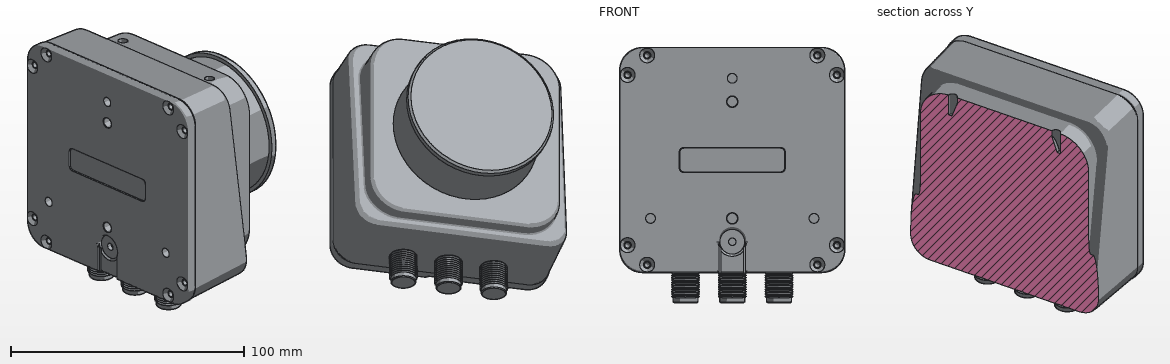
import cadquery as cq
import math

PLATE_SIZE = 96.57
PLATE_THICKNESS = 5.0
PLATE_CORNER = 10.0
PLATE_FRONT_FILLET = 1.0
PLATE_REAR_FILLET = 0.8

DRAFT = 1.5

HOUSING_SIZE = 96.1
HOUSING_CORNER = 10.0
HOUSING_RIM = 3.0
SLOPE_ANGLE = 8.0
SLOPE_MID_Y = 33.65

BODY_REAR_Y = 45.3
BODY_REAR_SIZE = 84.2
BODY_FOOT_Y = 20.0
BODY_CORNER = 15.0
BODY_RIM = 2.0
BODY_FOOT_FILLET = 1.0

LENS_REAR_Y = 71.5
LENS_BASE_RADIUS = 32.1
LENS_NECK_RADIUS = 30.55
FLANGE_RADIUS = 32.25
FLANGE_THICKNESS = 3.5
FLANGE_CHAMFER = 1.0

SCREW_NEAR = 36.45
SCREW_FAR = 44.85
SCREW_SINK_RADIUS = 3.2
SCREW_STEP_RADIUS = 1.6
SCREW_HOLE_RADIUS = 1.2
SCREW_SINK_DEPTH = 1.6
SCREW_HOLE_DEPTH = 4.0
SCREW_TIP_DEPTH = 5.0

MOUNT_HOLE_RADIUS = 2.1
MOUNT_HOLE_DEPTH = 4.0
MOUNT_HOLES = [(0, 35), (-35, -25), (35, -25)]

PIN_MOUTH_RADIUS = 2.45
PIN_CHAMFER = 0.2
PIN_DEPTH = 4.0
PIN_OFFSET_Z = 25.0

LABEL_LENGTH = 45.5
LABEL_HEIGHT = 10.7
LABEL_DEPTH = 0.5
LABEL_CORNER = 2.0
LABEL_DRAFT = 30.0

EARTH_Z = -35.0
EARTH_MOUTH_RADIUS = 6.45
EARTH_WALL_RADIUS = 5.65
EARTH_FLOOR_RADIUS = 5.3
EARTH_DEPTH = 1.9
EARTH_SCREW_RADIUS = 1.6
EARTH_SCREW_DEPTH = 4.0
CHANNEL_DEPTH = 1.25
CHANNEL_LIP_DEPTH = 0.15
CHANNEL_BEVEL_HEIGHT = 0.3
CHANNEL_FLOOR_HALF_WIDTH = 4.9
CHANNEL_SINK_RADIUS = 6.25

VENT_X = 25.9
VENT_Y = 36.2
VENT_RADIUS = 2.1
VENT_FLOOR_Z = 32.0
VENT_RAMP_X = 26.5
VENT_RAMP_ANGLE = 70.0

CONNECTOR_PITCH = 20.05
CONNECTOR_Y = 17.2
CONNECTOR_END_Z = -61.1
CONNECTOR_LENGTH = 20.0
CONNECTOR_NOSE_RADIUS = 5.4
CONNECTOR_NOSE_LENGTH = 2.2
CONNECTOR_NOSE_CHAMFER = 0.4
THREAD_RADIUS = 6.0
THREAD_DEPTH = 0.55
THREAD_PITCH = 1.0
THREAD_TURNS = 11


def plane_at(y):
    """Sketch plane facing +Y, with its vertical axis along Z."""
    return cq.Workplane(cq.Plane(origin=(0, y, 0), xDir=(-1, 0, 0), normal=(0, 1, 0)))


def turned(profile, x=0, z=0):
    """Solid turned about a Y-parallel axis from (radius, y) points."""
    return (
        cq.Workplane("XY")
        .polyline(profile)
        .close()
        .revolve(360, (0, 0, 0), (0, 1, 0))
        .translate((x, 0, z))
    )


def quarter_arc_middle(radius):
    """Distance from either edge line to the middle of a quarter-round of this radius."""
    return radius * (1 - math.sqrt(0.5))


def drafted_block(size, y_start, y_end, corner):
    """Square block narrowing toward +Y by the casting draft, with rounded corners."""
    block = plane_at(y_start).rect(size, size).extrude(y_end - y_start, taper=DRAFT)
    return block.edges("not(|X or |Z)").fillet(corner)


def cover_plate():
    plate = plane_at(0).rect(PLATE_SIZE, PLATE_SIZE).extrude(PLATE_THICKNESS)
    plate = plate.edges("|Y").fillet(PLATE_CORNER)
    plate = plate.faces("<Y").edges().fillet(PLATE_FRONT_FILLET)
    return plate.faces(">Y").edges().fillet(PLATE_REAR_FILLET)


def sloped_housing():
    housing = drafted_block(HOUSING_SIZE, PLATE_THICKNESS, BODY_REAR_Y, HOUSING_CORNER)
    reach = PLATE_SIZE
    rise = reach * math.tan(math.radians(SLOPE_ANGLE))
    beyond_slope = (
        cq.Workplane("YZ")
        .polyline([
            (SLOPE_MID_Y - rise, reach),
            (SLOPE_MID_Y + rise, -reach),
            (SLOPE_MID_Y + reach, -reach),
            (SLOPE_MID_Y + reach, reach),
        ])
        .close()
        .extrude(reach, both=True)
    )
    return housing.cut(beyond_slope).faces(">Y").edges().fillet(HOUSING_RIM)


def rear_body():
    growth = 2 * (BODY_REAR_Y - BODY_FOOT_Y) * math.tan(math.radians(DRAFT))
    body = drafted_block(BODY_REAR_SIZE + growth, BODY_FOOT_Y, BODY_REAR_Y, BODY_CORNER)
    return body.faces(">Y").edges().fillet(BODY_RIM)


def enclosure():
    """Housing and rear body, blended where the body meets the sloped face."""
    shell = sloped_housing().union(rear_body())
    angle = math.radians(SLOPE_ANGLE)
    slope_normal = cq.Vector(0, math.cos(angle), math.sin(angle))
    sloped_face = next(
        face for face in shell.faces("%PLANE").vals()
        if face.normalAt().dot(slope_normal) > math.cos(math.radians(1))
    )
    foot_edges = sloped_face.innerWires()[0].Edges()
    return shell.newObject(foot_edges).fillet(BODY_FOOT_FILLET)


def lens_tube():
    flange_y = LENS_REAR_Y - FLANGE_THICKNESS
    return turned([
        (0, BODY_FOOT_Y),
        (LENS_BASE_RADIUS, BODY_FOOT_Y),
        (LENS_BASE_RADIUS, BODY_REAR_Y),
        (LENS_NECK_RADIUS, flange_y),
        (FLANGE_RADIUS, flange_y),
        (FLANGE_RADIUS, LENS_REAR_Y - FLANGE_CHAMFER),
        (FLANGE_RADIUS - FLANGE_CHAMFER, LENS_REAR_Y),
        (0, LENS_REAR_Y),
    ])


def connector(x):
    """Threaded round plug, square to the drafted lower wall."""
    nose_tip = CONNECTOR_NOSE_RADIUS - CONNECTOR_NOSE_CHAMFER
    root = THREAD_RADIUS - THREAD_DEPTH
    outline = [
        (0, 0),
        (nose_tip, 0),
        (CONNECTOR_NOSE_RADIUS, CONNECTOR_NOSE_CHAMFER),
        (CONNECTOR_NOSE_RADIUS, CONNECTOR_NOSE_LENGTH),
    ]
    for turn in range(THREAD_TURNS):
        start = CONNECTOR_NOSE_LENGTH + turn * THREAD_PITCH
        outline.append((root, start))
        outline.append((THREAD_RADIUS, start + THREAD_PITCH / 2))
    thread_end = CONNECTOR_NOSE_LENGTH + THREAD_TURNS * THREAD_PITCH
    outline += [(root, thread_end), (root, CONNECTOR_LENGTH), (0, CONNECTOR_LENGTH)]
    return (
        cq.Workplane("XZ")
        .polyline(outline)
        .close()
        .revolve(360, (0, 0, 0), (0, 1, 0))
        .rotate((0, 0, 0), (1, 0, 0), DRAFT)
        .translate((x, CONNECTOR_Y, CONNECTOR_END_Z))
    )


def screw_hole(x, z):
    return turned([
        (0, 0),
        (SCREW_SINK_RADIUS, 0),
        (SCREW_STEP_RADIUS, SCREW_SINK_DEPTH),
        (SCREW_HOLE_RADIUS, SCREW_SINK_DEPTH),
        (SCREW_HOLE_RADIUS, SCREW_HOLE_DEPTH),
        (0, SCREW_TIP_DEPTH),
    ], x, z)


def mount_hole(x, z):
    return plane_at(0).center(-x, z).circle(MOUNT_HOLE_RADIUS).extrude(MOUNT_HOLE_DEPTH)


def pin_hole(z):
    radius = PIN_MOUTH_RADIUS - PIN_CHAMFER
    return turned([
        (0, 0),
        (PIN_MOUTH_RADIUS, 0),
        (radius, PIN_CHAMFER),
        (radius, PIN_DEPTH),
        (0, PIN_DEPTH),
    ], 0, z)


def label_recess():
    return (
        plane_at(0)
        .sketch()
        .rect(LABEL_LENGTH, LABEL_HEIGHT)
        .vertices()
        .fillet(LABEL_CORNER)
        .finalize()
        .extrude(LABEL_DEPTH, taper=LABEL_DRAFT)
    )


def earth_seat():
    """Round seat with a rounded mouth and a central screw hole."""
    mouth_round = EARTH_MOUTH_RADIUS - EARTH_WALL_RADIUS
    arc_middle = quarter_arc_middle(mouth_round)
    return (
        cq.Workplane("XY")
        .moveTo(0, 0)
        .lineTo(EARTH_MOUTH_RADIUS, 0)
        .threePointArc((EARTH_WALL_RADIUS + arc_middle, arc_middle), (EARTH_WALL_RADIUS, mouth_round))
        .lineTo(EARTH_FLOOR_RADIUS, EARTH_DEPTH)
        .lineTo(EARTH_SCREW_RADIUS, EARTH_DEPTH)
        .lineTo(EARTH_SCREW_RADIUS, EARTH_SCREW_DEPTH)
        .lineTo(0, EARTH_SCREW_DEPTH)
        .close()
        .revolve(360, (0, 0, 0), (0, 1, 0))
        .translate((0, 0, EARTH_Z))
    )


def earth_channel():
    """Shallow channel from the seat down to the plate's lower edge, sunk into the seat by a cone."""
    bevel_depth = CHANNEL_DEPTH - CHANNEL_BEVEL_HEIGHT
    left = [
        (-EARTH_MOUTH_RADIUS, 0),
        (-EARTH_WALL_RADIUS, CHANNEL_LIP_DEPTH),
        (-EARTH_WALL_RADIUS, bevel_depth),
        (-CHANNEL_FLOOR_HALF_WIDTH, CHANNEL_DEPTH),
    ]
    right = [(-x, y) for x, y in reversed(left)]
    channel = (
        cq.Workplane("XY", origin=(0, 0, EARTH_Z))
        .polyline(left + right)
        .close()
        .extrude(-PLATE_SIZE / 2)
    )
    sink = turned([
        (0, CHANNEL_DEPTH),
        (CHANNEL_SINK_RADIUS, CHANNEL_DEPTH),
        (EARTH_FLOOR_RADIUS, EARTH_DEPTH),
        (0, EARTH_DEPTH),
    ], 0, EARTH_Z)
    sink_limit = (
        cq.Workplane("XY", origin=(0, 0, EARTH_Z))
        .rect(2 * CHANNEL_FLOOR_HALF_WIDTH, PLATE_SIZE)
        .extrude(-PLATE_SIZE / 2)
    )
    return channel.union(sink.intersect(sink_limit))


def channel_exit_round():
    """Material removed where the channel floor rolls over the plate's lower edge."""
    radius = PLATE_FRONT_FILLET
    lower_edge = -PLATE_SIZE / 2
    arc_middle = quarter_arc_middle(radius)
    return (
        cq.Workplane("YZ")
        .moveTo(CHANNEL_DEPTH, lower_edge)
        .lineTo(CHANNEL_DEPTH, lower_edge + radius)
        .threePointArc(
            (CHANNEL_DEPTH + arc_middle, lower_edge + arc_middle),
            (CHANNEL_DEPTH + radius, lower_edge),
        )
        .close()
        .extrude(CHANNEL_FLOOR_HALF_WIDTH, both=True)
    )


def vent_hole(side):
    """Hole into the upper wall whose inner half ends on a steep ramp."""
    top_z = PLATE_SIZE / 2
    height = top_z - VENT_FLOOR_Z
    bore = (
        cq.Workplane("XY", origin=(side * VENT_X, VENT_Y, VENT_FLOOR_Z))
        .circle(VENT_RADIUS)
        .extrude(height)
    )
    ramp_run = height / math.tan(math.radians(VENT_RAMP_ANGLE))
    ramp = (
        cq.Workplane("XZ", origin=(0, VENT_Y, 0))
        .polyline([
            (side * VENT_RAMP_X, VENT_FLOOR_Z),
            (side * (VENT_RAMP_X - ramp_run), top_z),
            (0, top_z),
            (0, VENT_FLOOR_Z),
        ])
        .close()
        .extrude(VENT_RADIUS, both=True)
    )
    return bore.cut(ramp)


result = cover_plate().union(enclosure()).union(lens_tube())
for column in (-1, 0, 1):
    result = result.union(connector(column * CONNECTOR_PITCH))
for x_side in (-1, 1):
    result = result.cut(vent_hole(x_side))
    for z_side in (-1, 1):
        result = result.cut(screw_hole(x_side * SCREW_NEAR, z_side * SCREW_FAR))
        result = result.cut(screw_hole(x_side * SCREW_FAR, z_side * SCREW_NEAR))
for hole_x, hole_z in MOUNT_HOLES:
    result = result.cut(mount_hole(hole_x, hole_z))
for pin_z in (-PIN_OFFSET_Z, PIN_OFFSET_Z):
    result = result.cut(pin_hole(pin_z))
result = result.cut(label_recess())
result = result.cut(earth_seat()).cut(earth_channel()).cut(channel_exit_round())